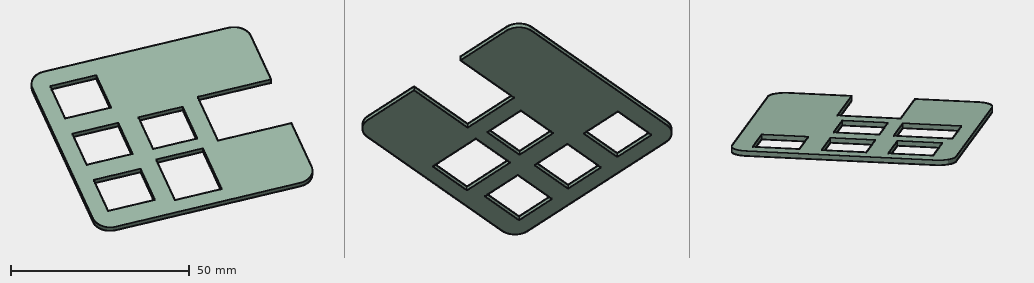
import cadquery as cq

plate_width = 63.9
plate_length = 64.5
plate_thickness = 1.5
corner_radius = 5.0

notch_width = 18.0
notch_depth = 21.65

small_window_width = 12.75
window_length = 13.55
tall_window_length = 13.8
bottom_row_y = -27.3

windows = [
    (-26.0, bottom_row_y, 13.3, window_length),
    (-small_window_width / 2, bottom_row_y, small_window_width, window_length),
    (12.65, bottom_row_y, small_window_width, tall_window_length),
    (-6.65, -7.7, 13.0, 13.0),
    (10.6, -8.2, 16.7, tall_window_length),
]


def through_block(left, bottom, width, length):
    """Block as thick as the plate, used to cut a rectangular opening."""
    return cq.Workplane("XY").box(
        width, length, plate_thickness, centered=(False, False, True)
    ).translate((left, bottom, 0))


plate = (
    cq.Workplane("XY")
    .box(plate_width, plate_length, plate_thickness)
    .edges("|Z")
    .fillet(corner_radius)
)

notch = through_block(-notch_width / 2, plate_length / 2 - notch_depth, notch_width, notch_depth)
result = plate.cut(notch)

for window in windows:
    result = result.cut(through_block(*window))